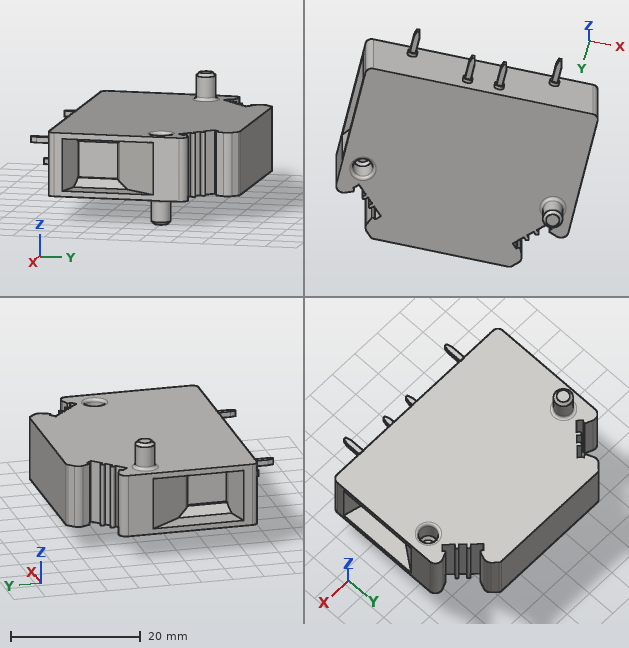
import cadquery as cq
import math

WIDTH = 36.8
HEIGHT = 28.75
THICKNESS = 10.0
BOTTOM_CORNER_RADIUS = 1.0
TOP_CORNER_RADIUS = 0.6

SLOT_CENTRE_Y = 22.4
SLOT_HALF_LENGTH = 3.2
SLOT_WALL_HEIGHT = 1.05
LIP_OVERHANG = 0.27
HOOK_RADIUS = 1.2
HOOK_CENTRE_U = SLOT_HALF_LENGTH + 1.08
HOOK_CENTRE_V = 2.07
HOOK_FLANK_LENGTH = 1.34
HOOK_FLANK_ANGLE = 157.5
RIDGE_OFFSET = 0.9
RIDGE_WIDTH = 0.6
RIDGE_HEIGHT = 0.75

POST_X = 15.05
POST_Y = 17.25
POST_RADIUS = 1.53
POST_LENGTH = 4.2
POST_TIP_CHAMFER = 0.5
POST_ROOT_FILLET = 0.5

POCKET_BOTTOM = 2.4
POCKET_TOP = 16.8
POCKET_HALF_THICKNESS = 4.1
POCKET_STRAIGHT_DEPTH = 3.7
POCKET_CHAMFER_DEPTH = 1.5
POCKET_CHAMFER_DROP = 1.25
FUNNEL_DEPTH = 4.85
POCKET_TOP_DROP = 6.5
POCKET_BOTTOM_RISE = 1.2
THROAT_RADIUS = 1.15

OUTER_PIN_X = 11.25
INNER_PIN_X = 2.5
PIN_ROW_Z = 2.5
COLLAR_DIAMETER = 1.5
COLLAR_LENGTH = 0.55
PIN_WIDTH = 0.9
PIN_LENGTH = 4.25
PIN_TIP_LENGTH = 0.95
PIN_TIP_WIDTH = 0.4

HALF_WIDTH = WIDTH / 2
HALF_THICKNESS = THICKNESS / 2
DIAGONAL = math.sqrt(0.5)

SLOT_CENTRE_X = HALF_WIDTH - HOOK_RADIUS - (HOOK_CENTRE_U + HOOK_CENTRE_V) * DIAGONAL


def slot_point(u, v):
    """Convert slot coordinates to X, Y."""
    return (SLOT_CENTRE_X + (u + v) * DIAGONAL, SLOT_CENTRE_Y + (v - u) * DIAGONAL)


def hook_arc_point(side, angle):
    """Point on a hook's round nose; side is +1 for the lower hook, -1 for the upper."""
    u = HOOK_CENTRE_U + HOOK_RADIUS * math.cos(math.radians(angle))
    v = HOOK_CENTRE_V + HOOK_RADIUS * math.sin(math.radians(angle))
    return slot_point(side * u, v)


def hook_lip(side):
    """Lip points of one hook: slot corner, wall top, lip underside, lip tip."""
    flank = math.radians(HOOK_FLANK_ANGLE)
    tip_u = HOOK_CENTRE_U + HOOK_RADIUS * math.cos(flank) - HOOK_FLANK_LENGTH * math.sin(flank)
    tip_v = HOOK_CENTRE_V + HOOK_RADIUS * math.sin(flank) + HOOK_FLANK_LENGTH * math.cos(flank)
    return [
        slot_point(side * SLOT_HALF_LENGTH, 0),
        slot_point(side * SLOT_HALF_LENGTH, SLOT_WALL_HEIGHT),
        slot_point(side * (SLOT_HALF_LENGTH - LIP_OVERHANG), SLOT_WALL_HEIGHT),
        slot_point(side * tip_u, tip_v),
    ]


def make_ridge(u):
    """Round-topped rib on the slot floor."""
    half = RIDGE_WIDTH / 2
    shoulder = RIDGE_HEIGHT - half
    return (
        cq.Workplane("XY", origin=(0, 0, -HALF_THICKNESS))
        .moveTo(*slot_point(u - half, -half))
        .lineTo(*slot_point(u - half, shoulder))
        .threePointArc(slot_point(u, RIDGE_HEIGHT), slot_point(u + half, shoulder))
        .lineTo(*slot_point(u + half, -half))
        .close()
        .extrude(THICKNESS)
    )


def make_half_housing():
    """The +X half of the block, with its slot, hooks and ridges."""
    side_angle = 45
    slope_angle = 90
    upper_end = hook_arc_point(-1, slope_angle)
    top_corner = (upper_end[0] - (HEIGHT - upper_end[1]), HEIGHT)
    lower_middle = (HOOK_FLANK_ANGLE + side_angle) / 2
    upper_middle = (HOOK_FLANK_ANGLE + slope_angle) / 2
    half = (
        cq.Workplane("XY", origin=(0, 0, -HALF_THICKNESS))
        .moveTo(0, 0)
        .lineTo(HALF_WIDTH, 0)
        .lineTo(*hook_arc_point(1, side_angle))
        .threePointArc(hook_arc_point(1, lower_middle), hook_arc_point(1, HOOK_FLANK_ANGLE))
    )
    for point in hook_lip(1)[::-1] + hook_lip(-1) + [hook_arc_point(-1, HOOK_FLANK_ANGLE)]:
        half = half.lineTo(*point)
    half = (
        half.threePointArc(hook_arc_point(-1, upper_middle), upper_end)
        .lineTo(*top_corner)
        .lineTo(0, HEIGHT)
        .close()
        .extrude(THICKNESS)
    )
    half = half.edges(cq.NearestToPointSelector((HALF_WIDTH, 0, 0))).fillet(BOTTOM_CORNER_RADIUS)
    half = half.edges(cq.NearestToPointSelector((*top_corner, 0))).fillet(TOP_CORNER_RADIUS)
    for u in (-RIDGE_OFFSET, RIDGE_OFFSET):
        half = half.union(make_ridge(u))
    return half


def make_pocket():
    """Tapering pocket in the +X side: its XY section limited by its XZ section."""
    slope = math.atan2(POCKET_TOP_DROP, FUNNEL_DEPTH)
    floor_depth = FUNNEL_DEPTH + THROAT_RADIUS * math.sin(slope)
    funnel_x = HALF_WIDTH - FUNNEL_DEPTH
    floor_x = HALF_WIDTH - floor_depth
    funnel_top = POCKET_TOP - POCKET_TOP_DROP
    throat_top = funnel_top - THROAT_RADIUS * (1 - math.cos(slope))
    throat_middle = (
        floor_x + THROAT_RADIUS * math.sin(slope / 2),
        throat_top + THROAT_RADIUS * (1 - math.cos(slope / 2)),
    )
    throat_bottom = POCKET_BOTTOM + POCKET_BOTTOM_RISE
    plan = (
        cq.Workplane("XY", origin=(0, 0, -HALF_THICKNESS))
        .moveTo(HALF_WIDTH, POCKET_BOTTOM)
        .lineTo(HALF_WIDTH, POCKET_TOP)
        .lineTo(funnel_x, funnel_top)
        .threePointArc(throat_middle, (floor_x, throat_top))
        .lineTo(floor_x, throat_bottom)
        .lineTo(funnel_x, throat_bottom)
        .close()
        .extrude(THICKNESS)
    )
    throat_half = POCKET_HALF_THICKNESS - POCKET_CHAMFER_DROP
    chamfer_start = HALF_WIDTH - POCKET_STRAIGHT_DEPTH
    chamfer_end = chamfer_start - POCKET_CHAMFER_DEPTH
    section = (
        cq.Workplane("XZ")
        .polyline([
            (HALF_WIDTH, -POCKET_HALF_THICKNESS),
            (HALF_WIDTH, POCKET_HALF_THICKNESS),
            (chamfer_start, POCKET_HALF_THICKNESS),
            (chamfer_end, throat_half),
            (floor_x, throat_half),
            (floor_x, -throat_half),
            (chamfer_end, -throat_half),
            (chamfer_start, -POCKET_HALF_THICKNESS),
        ])
        .close()
        .extrude(-HEIGHT)
    )
    return plan.intersect(section)


def make_post():
    """Upright post standing on Z = 0, with a flared root and a chamfered tip."""
    flare_radius = POST_RADIUS + POST_ROOT_FILLET
    flare_middle = POST_ROOT_FILLET * (1 - DIAGONAL)
    return (
        cq.Workplane("XZ")
        .moveTo(0, 0)
        .lineTo(flare_radius, 0)
        .threePointArc((POST_RADIUS + flare_middle, flare_middle), (POST_RADIUS, POST_ROOT_FILLET))
        .lineTo(POST_RADIUS, POST_LENGTH - POST_TIP_CHAMFER)
        .lineTo(POST_RADIUS - POST_TIP_CHAMFER, POST_LENGTH)
        .lineTo(0, POST_LENGTH)
        .close()
        .revolve(360, (0, 0, 0), (0, 1, 0))
    )


def make_pin(x, z):
    """Contact pin with a round collar and a wedge-shaped tip, pointing along -Y."""
    half = PIN_WIDTH / 2
    half_tip = PIN_TIP_WIDTH / 2
    collar = cq.Workplane("XZ").circle(COLLAR_DIAMETER / 2).extrude(COLLAR_LENGTH)
    blade = (
        cq.Workplane("XY", origin=(0, 0, -half))
        .polyline([
            (-half, 0),
            (half, 0),
            (half, PIN_TIP_LENGTH - PIN_LENGTH),
            (half_tip, -PIN_LENGTH),
            (-half_tip, -PIN_LENGTH),
            (-half, PIN_TIP_LENGTH - PIN_LENGTH),
        ])
        .close()
        .extrude(PIN_WIDTH)
    )
    return collar.union(blade).translate((x, 0, z))


half_body = make_half_housing().cut(make_pocket())
result = half_body.union(half_body.mirror("YZ"))

rising = make_post()
hanging = rising.mirror("XY")
result = result.union(rising.translate((-POST_X, POST_Y, HALF_THICKNESS)))
result = result.union(hanging.translate((POST_X, POST_Y, -HALF_THICKNESS)))
result = result.cut(hanging.translate((POST_X, POST_Y, HALF_THICKNESS)))
result = result.cut(rising.translate((-POST_X, POST_Y, -HALF_THICKNESS)))

for direction in (-1, 1):
    result = result.union(make_pin(direction * OUTER_PIN_X, PIN_ROW_Z))
    result = result.union(make_pin(direction * INNER_PIN_X, -PIN_ROW_Z))